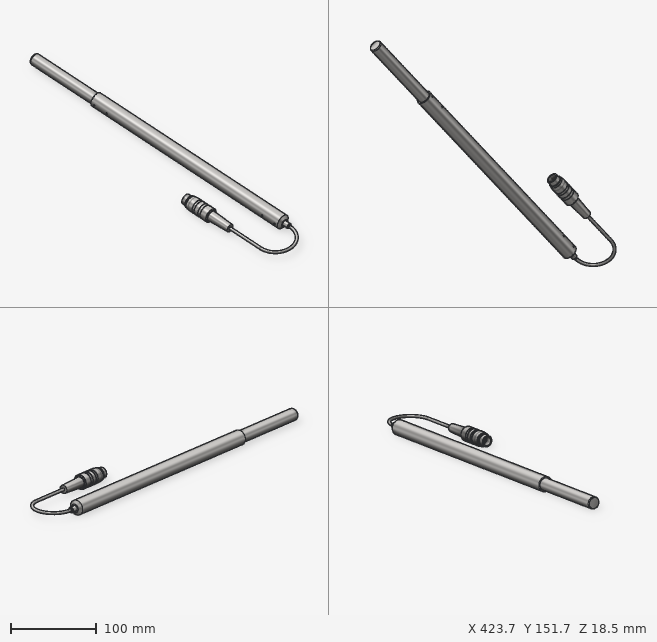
import cadquery as cq
PROBE_ANGLE = -13.13
HANDLE_START = 100.0
HANDLE_LENGTH = 300.0
LOOP_START = 411.75
LOOP_RADIUS = 25.0

TUBE_D = 15.0
TUBE_INSERTION = 30.0
TIP_D = 13.5
TIP_CHAMFER_LENGTH = 1.5

HANDLE_D = 18.5
END_CONE_LENGTH = 3.0
END_CONE_D = 10.2
GLAND_D = 7.0
GLAND_LENGTH = 7.0
HANDLE_HOLE_D = 1.7
HOLE_INSETS = (5.0, 25.0)

CABLE_D = 3.7
SLEEVE_D = 4.7

CONNECTOR_FACE = 291.2
CONNECTOR_LENGTH = 41.6
CONNECTOR_D = 18.15
NOSE_D = 13.5
NOSE_LENGTH = 6.1
FRONT_RING_D = 16.0
FRONT_RING_END = 8.3
TAPER_START_D = 16.9
TAPER_END = 12.4
GROOVE_D = 16.9
GRIP_GROOVES = ((18.6, 21.8), (27.6, 31.4))
REAR_CHAMFER = 1.0
SOCKET_D = 10.2
SOCKET_DEPTH = 8.0
CONTACT_D = 1.49
CONTACT_LENGTH = 3.0
CONTACT_CIRCLE_D = 5.0
CONTACT_COUNT = 4

BOOT_LENGTH = 30.0
BOOT_START_D = 13.0
BOOT_END_D = 10.2

HANDLE_END = HANDLE_START + HANDLE_LENGTH
CABLE_START = HANDLE_END + END_CONE_LENGTH + GLAND_LENGTH
CONNECTOR_OFFSET = -2 * LOOP_RADIUS
CONNECTOR_BACK = CONNECTOR_FACE + CONNECTOR_LENGTH
BOOT_END = CONNECTOR_BACK + BOOT_LENGTH


def rod(start, end, diameter, offset=0.0):
    """Cylinder along X from start to end, with its axis at Y = offset."""
    return cq.Workplane("YZ", origin=(start, offset, 0)).circle(diameter / 2).extrude(end - start)


def turned(profile):
    """Solid of revolution about X from (distance, diameter) pairs."""
    outline = [(x, d / 2) for x, d in profile]
    outline = [(outline[0][0], 0)] + outline + [(outline[-1][0], 0)]
    return cq.Workplane("XY").polyline(outline).close().revolve(360, (0, 0, 0), (1, 0, 0))


def make_tube():
    return turned([
        (0, TIP_D),
        (TIP_CHAMFER_LENGTH, TUBE_D),
        (HANDLE_START + TUBE_INSERTION, TUBE_D),
    ])


def make_handle():
    cone_end = HANDLE_END + END_CONE_LENGTH
    handle = turned([
        (HANDLE_START, HANDLE_D),
        (HANDLE_END, HANDLE_D),
        (cone_end, END_CONE_D),
        (cone_end, GLAND_D),
        (CABLE_START, GLAND_D),
    ])
    handle = handle.cut(rod(HANDLE_START, HANDLE_START + TUBE_INSERTION, TUBE_D))
    wall = (HANDLE_D - TUBE_D) / 2
    places = [HANDLE_START + inset for inset in HOLE_INSETS]
    places += [HANDLE_END - inset for inset in HOLE_INSETS]
    for place in places:
        hole = (
            cq.Workplane("XZ", origin=(place, -TUBE_D / 2, 0))
            .circle(HANDLE_HOLE_D / 2)
            .extrude(2 * wall)
        )
        handle = handle.cut(hole)
    return handle


def make_cable():
    sleeve = rod(CABLE_START, LOOP_START, SLEEVE_D)
    loop = (
        cq.Workplane("YZ", origin=(LOOP_START, 0, 0))
        .circle(CABLE_D / 2)
        .revolve(180, (-LOOP_RADIUS, 0, 0), (-LOOP_RADIUS, -1, 0))
    )
    straight = rod(BOOT_END, LOOP_START, CABLE_D, CONNECTOR_OFFSET)
    return sleeve.union(loop).union(straight)


def make_connector():
    profile = [
        (0, NOSE_D),
        (NOSE_LENGTH, NOSE_D),
        (NOSE_LENGTH, FRONT_RING_D),
        (FRONT_RING_END, FRONT_RING_D),
        (FRONT_RING_END, TAPER_START_D),
        (TAPER_END, CONNECTOR_D),
    ]
    for start, end in GRIP_GROOVES:
        profile += [(start, CONNECTOR_D), (start, GROOVE_D), (end, GROOVE_D), (end, CONNECTOR_D)]
    profile += [
        (CONNECTOR_LENGTH - REAR_CHAMFER, CONNECTOR_D),
        (CONNECTOR_LENGTH, CONNECTOR_D - 2 * REAR_CHAMFER),
    ]
    connector = turned(profile).cut(rod(0, SOCKET_DEPTH, SOCKET_D))
    contacts = (
        cq.Workplane("YZ", origin=(SOCKET_DEPTH, 0, 0))
        .polarArray(CONTACT_CIRCLE_D / 2, 0, 360, CONTACT_COUNT)
        .circle(CONTACT_D / 2)
        .extrude(-CONTACT_LENGTH)
    )
    return connector.union(contacts).translate((CONNECTOR_FACE, CONNECTOR_OFFSET, 0))


def make_boot():
    boot = turned([(CONNECTOR_BACK, BOOT_START_D), (BOOT_END, BOOT_END_D)])
    return boot.translate((0, CONNECTOR_OFFSET, 0))


def placed(body):
    return body.rotate((0, 0, 0), (0, 0, 1), PROBE_ANGLE)


tube = placed(make_tube())
handle = placed(make_handle())
cable = placed(make_cable())
connector = placed(make_connector())
boot = placed(make_boot())

result = cq.Compound.makeCompound([
    tube.val(),
    handle.val(),
    cable.val(),
    connector.val(),
    boot.val(),
])